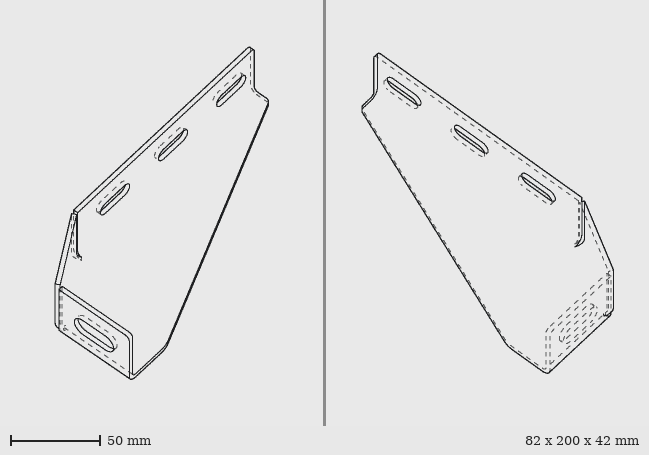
import cadquery as cq
import math

WIDTH = 82.0
LENGTH = 200.0
HEIGHT = 42.0
THICKNESS = 3.0
BEND_RADIUS = 5.5
INNER_RADIUS = BEND_RADIUS - THICKNESS

FRONT_FLANGE_START = 30.0
DIAGONAL_ANGLE = 60.0
DIAGONAL_OVERRUN = 1.5
TIP_X = 14.0
SHOULDER_Y = 31.5
TIP_RADIUS = 3.0
SHOULDER_RADIUS = 20.0
FLANGE_CORNER_RADIUS = 3.0

SLOT_Z = 22.0
SIDE_SLOT_CENTERS_Y = (80.0, 130.0, 180.0)
SIDE_SLOT_LENGTH = 25.0
SIDE_SLOT_HEIGHT = 9.0
FRONT_SLOT_CENTER_X = 56.0
FRONT_SLOT_LENGTH = 29.0
FRONT_SLOT_HEIGHT = 13.0

diagonal_rise = (FRONT_FLANGE_START - BEND_RADIUS) * math.tan(math.radians(DIAGONAL_ANGLE))
side_corner = (BEND_RADIUS, BEND_RADIUS + diagonal_rise)
front_corner = (FRONT_FLANGE_START, BEND_RADIUS)
diagonal_end = (
    front_corner[0] + DIAGONAL_OVERRUN * math.cos(math.radians(DIAGONAL_ANGLE)),
    front_corner[1] - DIAGONAL_OVERRUN * math.sin(math.radians(DIAGONAL_ANGLE)),
)


def make_base():
    """Flat plate inside the three bend lines, with a tapered free edge."""
    outline = [
        side_corner,
        front_corner,
        (WIDTH, BEND_RADIUS),
        (WIDTH, SHOULDER_Y),
        (TIP_X, LENGTH),
        (BEND_RADIUS, LENGTH),
    ]
    plate = cq.Workplane("XY").polyline(outline).close().extrude(THICKNESS)
    shoulder = cq.selectors.NearestToPointSelector((WIDTH, SHOULDER_Y, THICKNESS / 2))
    tip = cq.selectors.NearestToPointSelector((TIP_X, LENGTH, THICKNESS / 2))
    plate = plate.edges("|Z").edges(shoulder).fillet(SHOULDER_RADIUS)
    return plate.edges("|Z").edges(tip).fillet(TIP_RADIUS)


def make_flange(start, end):
    """Bent flange along a bend line; outward is to the right when going from start to end."""
    dx = end[0] - start[0]
    dy = end[1] - start[1]
    run = math.hypot(dx, dy)
    section_plane = cq.Plane(
        origin=(start[0], start[1], 0),
        xDir=(dy / run, -dx / run, 0),
        normal=(dx / run, dy / run, 0),
    )
    diagonal = math.sqrt(0.5)
    outer_mid = (BEND_RADIUS * diagonal, -BEND_RADIUS * (1 - diagonal))
    inner_mid = (INNER_RADIUS * diagonal, -BEND_RADIUS + INNER_RADIUS * diagonal)
    return (
        cq.Workplane(section_plane)
        .moveTo(0, 0)
        .threePointArc(outer_mid, (BEND_RADIUS, -BEND_RADIUS))
        .lineTo(BEND_RADIUS, -HEIGHT)
        .lineTo(INNER_RADIUS, -HEIGHT)
        .lineTo(INNER_RADIUS, -BEND_RADIUS)
        .threePointArc(inner_mid, (0, -THICKNESS))
        .close()
        .extrude(run)
    )


def make_side_flange():
    flange = make_flange((BEND_RADIUS, LENGTH), side_corner)
    flange = flange.edges("|X and >Y and >Z").fillet(FLANGE_CORNER_RADIUS)
    slots = (
        cq.Workplane("YZ")
        .pushPoints([(y, SLOT_Z) for y in SIDE_SLOT_CENTERS_Y])
        .slot2D(SIDE_SLOT_LENGTH, SIDE_SLOT_HEIGHT)
        .extrude(THICKNESS)
    )
    return flange.cut(slots)


def make_front_flange():
    flange = make_flange(front_corner, (WIDTH, BEND_RADIUS))
    flange = flange.edges("|Y and >X and >Z").fillet(FLANGE_CORNER_RADIUS)
    slot = (
        cq.Workplane("XZ")
        .center(FRONT_SLOT_CENTER_X, SLOT_Z)
        .slot2D(FRONT_SLOT_LENGTH, FRONT_SLOT_HEIGHT)
        .extrude(-THICKNESS)
    )
    return flange.cut(slot)


result = (
    make_base()
    .union(make_side_flange())
    .union(make_flange(side_corner, diagonal_end))
    .union(make_front_flange())
)